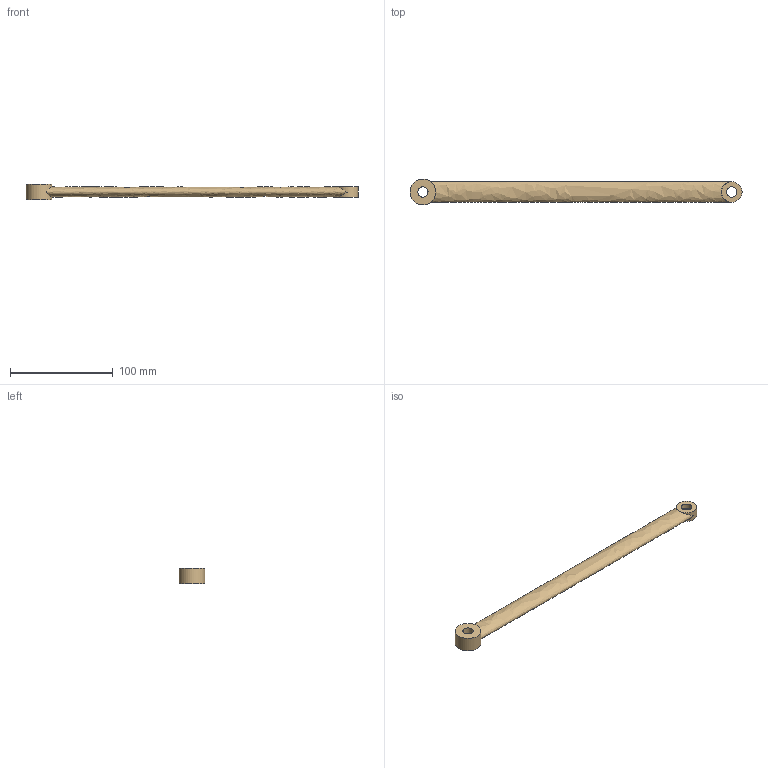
import cadquery as cq

CENTRE_DISTANCE = 300.0
HOLE_DIAMETER = 10.0
LARGE_EYE_DIAMETER = 25.0
LARGE_EYE_HEIGHT = 15.0
BAR_WIDTH = 20.0
BAR_THICKNESS = 10.0

SMALL_EYE_DIAMETER = BAR_WIDTH
SMALL_EYE_HEIGHT = BAR_THICKNESS


def upright_cylinder(centre_x, diameter, height):
    """Cylinder along Z, centred on the link's mid-plane."""
    return cq.Workplane("XY").center(centre_x, 0).circle(diameter / 2).extrude(height / 2, both=True)


def elliptical_bar():
    """Bar of elliptical section running from one eye centre to the other."""
    return cq.Workplane("YZ").ellipse(BAR_WIDTH / 2, BAR_THICKNESS / 2).extrude(CENTRE_DISTANCE)


def pin_hole(centre_x):
    """Through hole for a pin, long enough to pierce either eye."""
    return upright_cylinder(centre_x, HOLE_DIAMETER, LARGE_EYE_HEIGHT)


large_eye = upright_cylinder(0, LARGE_EYE_DIAMETER, LARGE_EYE_HEIGHT)
small_eye = upright_cylinder(CENTRE_DISTANCE, SMALL_EYE_DIAMETER, SMALL_EYE_HEIGHT)

small_eye_wall = upright_cylinder(CENTRE_DISTANCE, SMALL_EYE_DIAMETER, LARGE_EYE_HEIGHT)
bar = elliptical_bar().cut(large_eye).cut(small_eye_wall)

result = large_eye.union(bar).union(small_eye)
for hole_x in (0, CENTRE_DISTANCE):
    result = result.cut(pin_hole(hole_x))